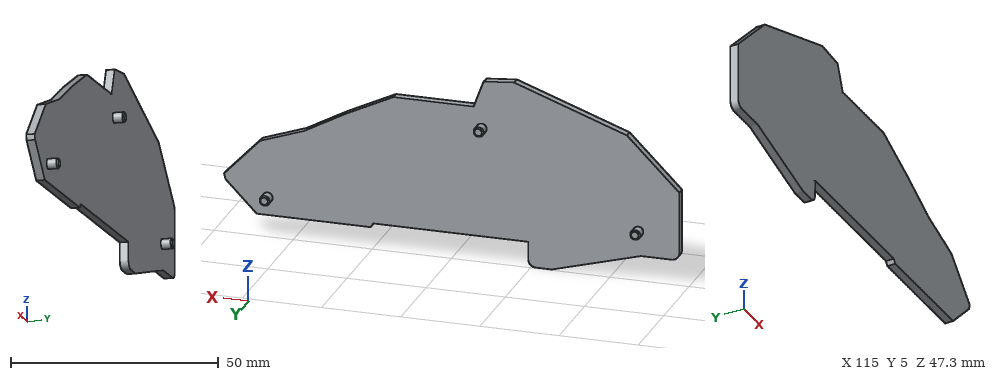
import cadquery as cq

length = 115.0
height = 47.3
plate_thickness = 2.2
pin_diameter = 2.5
pin_length = 2.8
pin_tip_chamfer = 0.3
corner_radius = 2.0
crest_radius = 0.5

deck_z = 39.8
belly_z = 6.4
tail_bottom_z = 5.4
nose_bottom_z = 6.2
keel_end_x = 38.2
crest_end = (49.5, 46.6)

outline = [
    (0, nose_bottom_z),
    (0, 23.8),
    (13.2, 37.0),
    (41.7, height),
    crest_end,
    (52.0, deck_z),
    (72.2, deck_z),
    (84.4, 33.9),
    (94.8, 28.3),
    (105.9, 24.4),
    (length, 14.8),
    (114.7, 13.5),
    (106.7, tail_bottom_z),
    (78.0, tail_bottom_z),
    (77.3, belly_z),
    (keel_end_x, belly_z),
    (keel_end_x, 0),
    (32.2, 0),
    (9.7, nose_bottom_z),
]

pin_centres = [(10.4, 12.5), (49.9, 34.4), (104.0, 10.0)]


def round_corner(body, corner, radius):
    """Round the plate edge that runs through the thickness at a corner."""
    x, z = corner
    middle = (x, plate_thickness / 2, z)
    edge = cq.selectors.NearestToPointSelector(middle)
    return body.edges("|Y").edges(edge).fillet(radius)


def make_plate():
    plate = cq.Workplane("XZ").polyline(outline).close().extrude(-plate_thickness)
    for corner in [(0, nose_bottom_z), (keel_end_x, 0)]:
        plate = round_corner(plate, corner, corner_radius)
    return round_corner(plate, crest_end, crest_radius)


def make_pin(x, z):
    pin = cq.Workplane("XZ").center(x, z).circle(pin_diameter / 2)
    pin = pin.extrude(-(plate_thickness + pin_length))
    return pin.faces(">Y").chamfer(pin_tip_chamfer)


result = make_plate()
for pin_x, pin_z in pin_centres:
    result = result.union(make_pin(pin_x, pin_z))
result = result.clean()